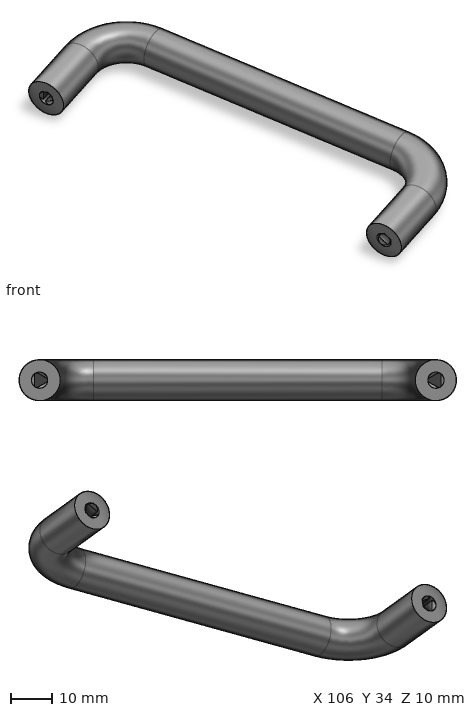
import cadquery as cq
import math

overall_length = 106.0
overall_depth = 34.0
bar_diameter = 10.0
bend_radius = 13.0

socket_diameter = 3.9
flat_distance = 1.3
socket_depth = 10.1
socket_sides = 3
lead_in_depth = 0.7
lead_in_angle = 45.0

bar_radius = bar_diameter / 2
foot_x = overall_length / 2 - bar_radius
grip_y = overall_depth - bar_radius
bend_start_y = grip_y - bend_radius
bend_end_x = foot_x - bend_radius

socket_radius = socket_diameter / 2
mouth_distance = flat_distance + lead_in_depth * math.tan(math.radians(lead_in_angle))


def make_bar():
    """Round bar that runs from one foot, along the grip, to the other foot."""
    centreline = (
        cq.Workplane("XY")
        .moveTo(-foot_x, 0)
        .lineTo(-foot_x, bend_start_y)
        .tangentArcPoint((-bend_end_x, grip_y), relative=False)
        .lineTo(bend_end_x, grip_y)
        .tangentArcPoint((foot_x, bend_start_y), relative=False)
        .lineTo(foot_x, 0)
    )
    section = cq.Workplane("XZ", origin=(-foot_x, 0, 0)).circle(bar_radius)
    return section.sweep(centreline)


def triangle_on_foot(inner_radius):
    """Triangle around the left foot's axis, with one side facing the outer end of the handle."""
    corner_radius = inner_radius / math.cos(math.pi / socket_sides)
    foot_plane = cq.Workplane("XZ", origin=(-foot_x, 0, 0))
    return foot_plane.polygon(socket_sides, 2 * corner_radius)


def make_left_socket():
    """Triangular socket with bevelled flats, its corners rounded off by a cylinder."""
    flats = triangle_on_foot(flat_distance).extrude(-socket_depth)
    lead_in = triangle_on_foot(mouth_distance).extrude(-lead_in_depth, taper=lead_in_angle)
    envelope = (
        cq.Workplane("XZ", origin=(-foot_x, 0, 0))
        .circle(socket_radius)
        .extrude(-socket_depth)
    )
    return flats.union(lead_in).intersect(envelope)


left_socket = make_left_socket()
right_socket = left_socket.mirror("YZ")

result = make_bar().cut(left_socket).cut(right_socket)